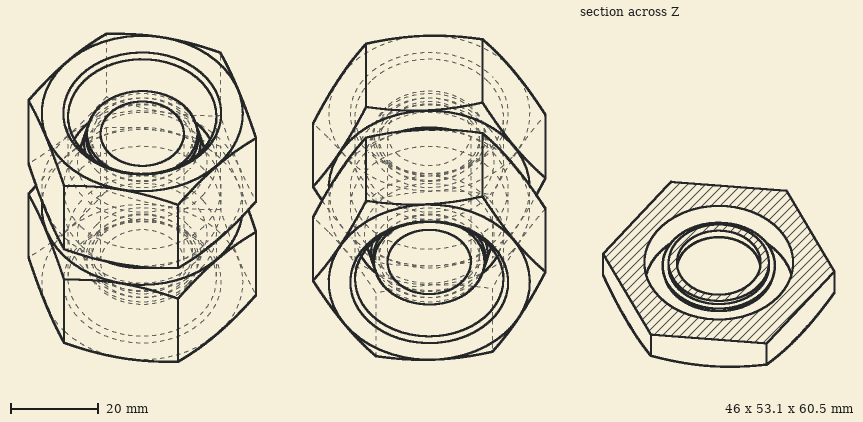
import cadquery as cq
import math

length = 60.5
across_flats = 46.0
across_corners = across_flats / math.cos(math.radians(30))

nut_height = 26.85
face_diameter = 45.85
nut_chamfer_angle = 30.0

neck_diameter = 36.0
socket_diameter = 33.8
socket_mouth_diameter = 36.0
bore_diameter = 19.0
mouth_chamfer_angle = 45.0

tip_depth = 7.25
tip_diameter = 25.15
cone_base_diameter = 29.5
cone_half_angle = 12.0

groove_offset = 1.2
groove_width = 2.05
groove_floor_diameter = 23.0

cone_slope = math.tan(math.radians(cone_half_angle))
cone_length = (cone_base_diameter - tip_diameter) / 2 / cone_slope
socket_depth = tip_depth + cone_length


def revolve_profile(points):
    """Revolve (radius, height) points around the Z axis."""
    return cq.Workplane("XZ").polyline(points).close().revolve(360, (0, 0, 0), (0, 1, 0))


def make_nut():
    """Solid hexagon standing on Z = 0, with conical chamfers at both ends."""
    hexagon = (
        cq.Workplane("XY")
        .polygon(6, across_corners)
        .extrude(nut_height)
        .rotate((0, 0, 0), (0, 0, 1), 30)
    )
    face_radius = face_diameter / 2
    outer_radius = across_corners
    cone_drop = (outer_radius - face_radius) * math.tan(math.radians(nut_chamfer_angle))
    lower_cone = revolve_profile([
        (0, 0),
        (face_radius, 0),
        (outer_radius, cone_drop),
        (outer_radius, nut_height),
        (0, nut_height),
    ])
    upper_cone = lower_cone.mirror("XY").translate((0, 0, nut_height))
    return hexagon.intersect(lower_cone).intersect(upper_cone)


def make_socket_cut():
    """Annular space around the nipple, opening at the top end of the part."""
    def cone_radius(offset):
        return tip_diameter / 2 + offset * cone_slope

    tip_z = length - tip_depth
    floor_z = length - socket_depth
    socket_radius = socket_diameter / 2
    mouth_radius = socket_mouth_diameter / 2
    mouth_depth = (mouth_radius - socket_radius) / math.tan(math.radians(mouth_chamfer_angle))
    groove_radius = groove_floor_diameter / 2
    groove_end = groove_offset + groove_width
    return revolve_profile([
        (0, length),
        (mouth_radius, length),
        (socket_radius, length - mouth_depth),
        (socket_radius, floor_z),
        (cone_base_diameter / 2, floor_z),
        (cone_radius(groove_end), tip_z - groove_end),
        (groove_radius, tip_z - groove_end),
        (groove_radius, tip_z - groove_offset),
        (cone_radius(groove_offset), tip_z - groove_offset),
        (tip_diameter / 2, tip_z),
        (0, tip_z),
    ])


lower_nut = make_nut()
upper_nut = lower_nut.translate((0, 0, length - nut_height))
neck = (
    cq.Workplane("XY", origin=(0, 0, nut_height))
    .circle(neck_diameter / 2)
    .extrude(length - 2 * nut_height)
)
body = lower_nut.union(neck).union(upper_nut)

upper_socket = make_socket_cut()
lower_socket = upper_socket.mirror("XY").translate((0, 0, length))
bore = cq.Workplane("XY").circle(bore_diameter / 2).extrude(length)
result = body.cut(upper_socket).cut(lower_socket).cut(bore)